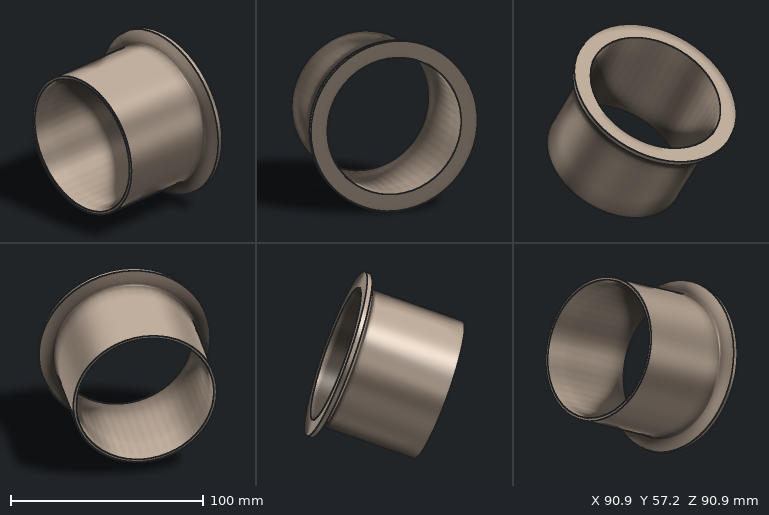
import cadquery as cq
import math

flange_diameter = 90.9
tube_outer_diameter = 76.2
bore_diameter = 72.9
total_length = 57.2
rim_thickness = 2.8
cone_angle = math.radians(20)
fillet_radius = 1.5

flange_radius = flange_diameter / 2
tube_radius = tube_outer_diameter / 2
bore_radius = bore_diameter / 2

fillet_center_radius = tube_radius + fillet_radius
cone_end_radius = fillet_center_radius - fillet_radius * math.sin(cone_angle)
cone_end_y = -rim_thickness - (flange_radius - cone_end_radius) * math.tan(cone_angle)
fillet_center_y = cone_end_y - fillet_radius * math.cos(cone_angle)

mid_angle = (math.pi / 2 + cone_angle) / 2
fillet_middle = (
    fillet_center_radius - fillet_radius * math.sin(mid_angle),
    fillet_center_y + fillet_radius * math.cos(mid_angle),
)

section = (
    cq.Workplane("XY")
    .moveTo(bore_radius, 0)
    .lineTo(flange_radius, 0)
    .lineTo(flange_radius, -rim_thickness)
    .lineTo(cone_end_radius, cone_end_y)
    .threePointArc(fillet_middle, (tube_radius, fillet_center_y))
    .lineTo(tube_radius, -total_length)
    .lineTo(bore_radius, -total_length)
    .close()
)
result = section.revolve(360, (0, 0, 0), (0, 1, 0))